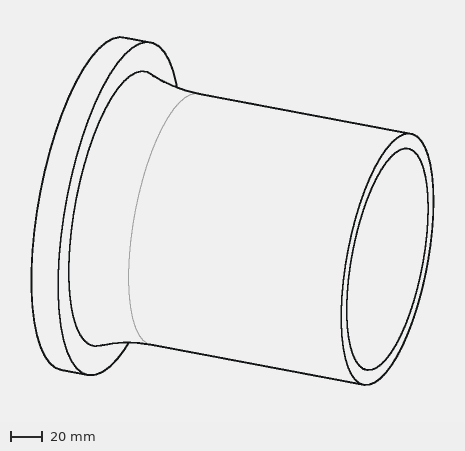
import cadquery as cq
import math

length = 198.0
flange_diameter = 212.0
flange_thickness = 18.0
neck_end = 55.1
neck_root_diameter = 175.0
pipe_diameter = 160.0
bore_diameter = 141.0

flange_radius = flange_diameter / 2
neck_root_radius = neck_root_diameter / 2
pipe_radius = pipe_diameter / 2
bore_radius = bore_diameter / 2

neck_length = neck_end - flange_thickness
neck_rise = neck_root_radius - pipe_radius
neck_arc_radius = (neck_length**2 + neck_rise**2) / (2 * neck_rise)
half_sweep = math.asin(neck_length / neck_arc_radius) / 2
neck_middle = (
    neck_end - neck_arc_radius * math.sin(half_sweep),
    pipe_radius + neck_arc_radius * (1 - math.cos(half_sweep)),
)

wall_section = (
    cq.Workplane("XY")
    .moveTo(0, bore_radius)
    .lineTo(0, flange_radius)
    .lineTo(flange_thickness, flange_radius)
    .lineTo(flange_thickness, neck_root_radius)
    .threePointArc(neck_middle, (neck_end, pipe_radius))
    .lineTo(length, pipe_radius)
    .lineTo(length, bore_radius)
    .close()
)
stub_end = wall_section.revolve(360, (0, 0, 0), (1, 0, 0))

result = stub_end.translate((-length / 2, 0, 0))